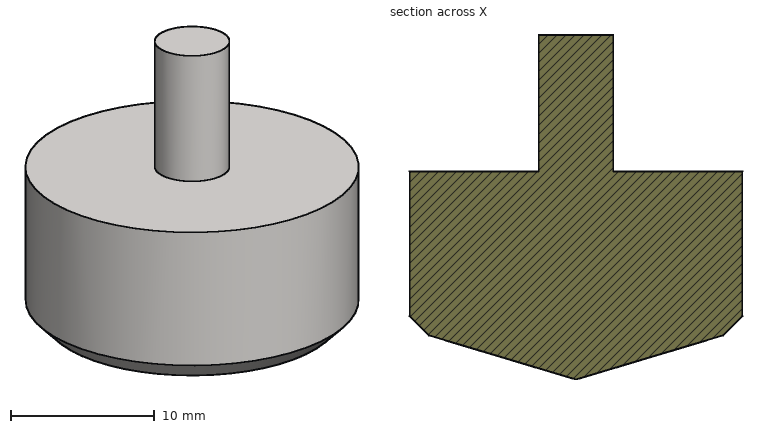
import cadquery as cq

total_height = 24.0
body_diameter = 23.2
stem_diameter = 5.2
stem_length = 9.5
chamfer_size = 1.35
tip_height = 3.07

body_radius = body_diameter / 2
stem_radius = stem_diameter / 2
tip_radius = body_radius - chamfer_size
body_bottom = tip_height + chamfer_size
body_top = total_height - stem_length

half_profile = (
    cq.Workplane("XZ")
    .moveTo(0, 0)
    .lineTo(tip_radius, tip_height)
    .lineTo(body_radius, body_bottom)
    .lineTo(body_radius, body_top)
    .lineTo(stem_radius, body_top)
    .lineTo(stem_radius, total_height)
    .lineTo(0, total_height)
    .close()
)

result = half_profile.revolve(360, (0, 0, 0), (0, 1, 0))